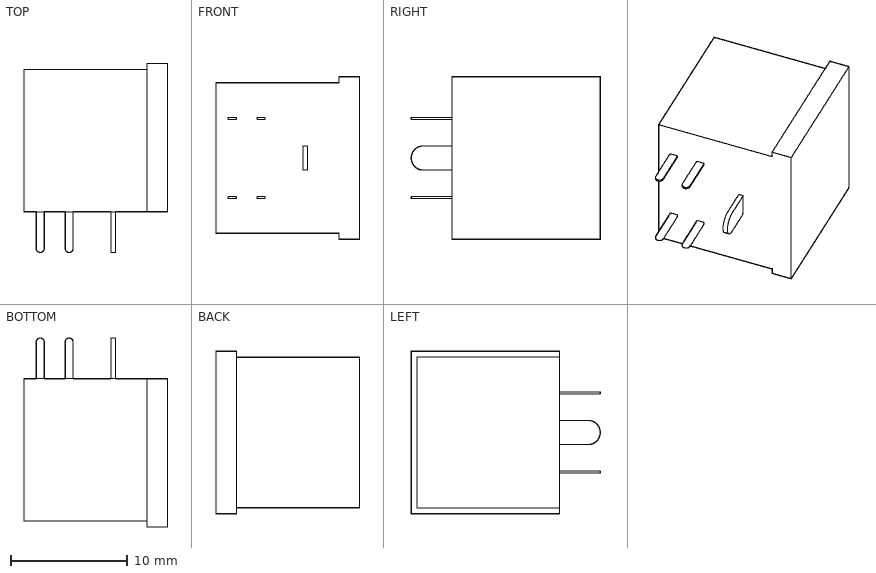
import cadquery as cq

total_length = 12.4
rim_length = 1.8
rim_height = 14.0
rim_step = 0.5
housing_depth = 12.8
body_length = total_length - rim_length
body_height = rim_height - 2 * rim_step
body_depth = housing_depth - rim_step

terminal_length = 3.5
pin_width = 0.7
pin_thickness = 0.2
pin_edge_round = 0.08
first_pin_x = 1.42
pin_pitch_x = 2.5
pin_offset_z = 3.4
blade_width = 2.1
blade_thickness = 0.4
blade_x = 7.71


def block(start_x, length, depth, height):
    """Block with its front face on Y = 0, centered on Z = 0."""
    return (
        cq.Workplane("XY")
        .box(length, depth, height, centered=(False, False, True))
        .translate((start_x, 0, 0))
    )


def terminal(width, thickness):
    """Strip along -Y, wide in X and thin in Z, ending in a full round."""
    half_width = width / 2
    straight_end = -(terminal_length - half_width)
    return (
        cq.Workplane("XY")
        .moveTo(-half_width, 0)
        .lineTo(-half_width, straight_end)
        .threePointArc((0, -terminal_length), (half_width, straight_end))
        .lineTo(half_width, 0)
        .close()
        .extrude(thickness / 2, both=True)
    )


body = block(0, body_length, body_depth, body_height)
rim = block(body_length, rim_length, housing_depth, rim_height)
result = body.union(rim)

strip = terminal(pin_width, pin_thickness)
lower_pin = strip.faces(">Z").edges("not >Y").fillet(pin_edge_round)
for pin_x in (first_pin_x, first_pin_x + pin_pitch_x):
    placed_pin = lower_pin.translate((pin_x, 0, -pin_offset_z))
    result = result.union(placed_pin).union(placed_pin.mirror("XY"))

blade = terminal(blade_width, blade_thickness).rotate((0, 0, 0), (0, 1, 0), 90)
result = result.union(blade.translate((blade_x, 0, 0)))